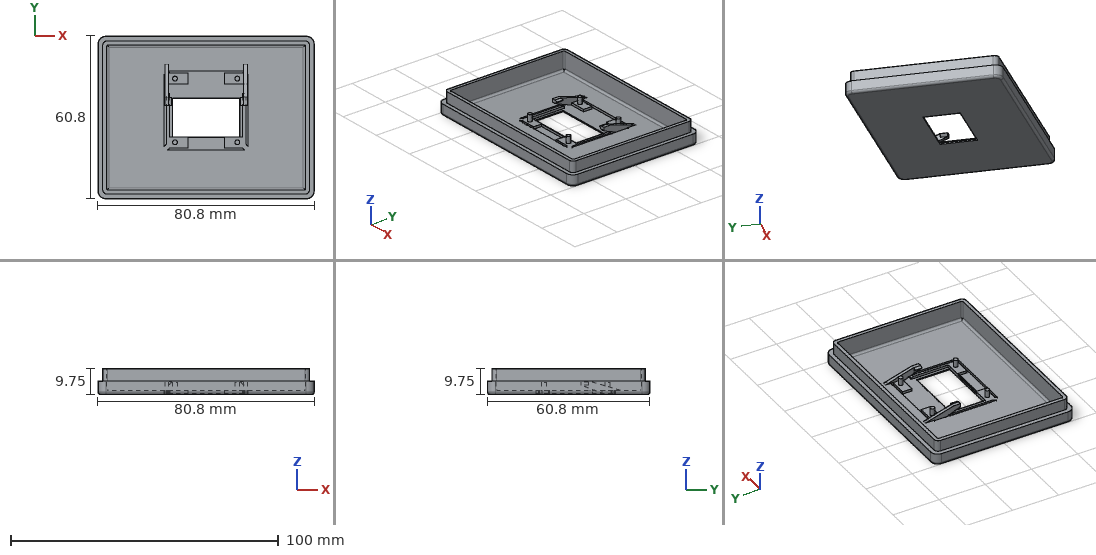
import cadquery as cq

LENGTH = 80.8
WIDTH = 60.8
HEIGHT = 9.75
BASE_HEIGHT = 5.0
FLOOR_Z = 1.5
LIP_INSET = 1.75
LIP_WALL = 1.5
CORNER_RADIUS = 3.0
LIP_CORNER_RADIUS = 1.75
CAVITY_CORNER_RADIUS = 0.6
BOTTOM_FILLET = 1.0
FLOOR_FILLET = 0.9

WINDOW_LENGTH = 25.0
WINDOW_WIDTH = 14.4

RECESS_Z = 0.5
RECESS_HALF_X = 15.7
RECESS_Y_MIN = -12.15
RECESS_Y_MAX = 17.45
TRENCH_WIDTH = 0.85
BRIDGE_WIDTH = 1.9
BRIDGE_LENGTH = 6.8
SEAT_HALF_X = 13.66
SEAT_Y_MIN = -WINDOW_WIDTH / 2
SEAT_Y_MAX = 12.5
CENTER_HALF_X = 6.85
RIB_WIDTH = 0.3

POST_DIAMETER = 1.8
POST_TOP_Z = 4.5
POST_X = 11.65
POST_YS = (-9.25, 14.55)

ARM_INNER_X = 14.0
ARM_OUTER_X = 15.45
ARM_TOP_Z = 5.1
ARM_TIP_Y = 4.55
ARM_RAMP_TOP_Y = 7.5
ARM_RAMP_FOOT_Y = 19.8
ARM_TIP_BOTTOM_Z = 3.6
HOOK_REACH = 1.15
HOOK_DROP = 0.45
RELIEF_RAMP_FOOT_Y = 8.9
RELIEF_RAMP_TOP_Y = 7.95
RELIEF_RAMP_DROP = 0.5


def block(x_min, x_max, y_min, y_max, z_min, z_max):
    """Axis-aligned box given by its limits."""
    size = (x_max - x_min, y_max - y_min, z_max - z_min)
    return cq.Workplane("XY").box(*size, centered=False).translate((x_min, y_min, z_min))


def rounded_plate(length, width, z_min, z_max, radius):
    """Plate centred on the Z axis with rounded vertical edges."""
    plate = cq.Workplane("XY", origin=(0, 0, z_min)).rect(length, width).extrude(z_max - z_min)
    return plate.edges("|Z").fillet(radius)


def side_profile(points, x_min, x_max):
    """Prism along X with its outline given as (y, z) points."""
    prism = cq.Workplane("YZ", origin=(x_min, 0, 0)).polyline(points).close()
    return prism.extrude(x_max - x_min)


def with_mirror(right_side):
    """The given shape together with its mirror image across X = 0."""
    return right_side.union(right_side.mirror("YZ"))


def tray():
    base = rounded_plate(LENGTH, WIDTH, 0, BASE_HEIGHT, CORNER_RADIUS)
    base = base.faces("<Z").edges().fillet(BOTTOM_FILLET)
    lip_length = LENGTH - 2 * LIP_INSET
    lip_width = WIDTH - 2 * LIP_INSET
    lip = rounded_plate(lip_length, lip_width, FLOOR_Z, HEIGHT, LIP_CORNER_RADIUS)
    cavity_length = lip_length - 2 * LIP_WALL
    cavity_width = lip_width - 2 * LIP_WALL
    cavity = cq.Workplane("XY", origin=(0, 0, FLOOR_Z)).rect(cavity_length, cavity_width)
    cavity = cavity.extrude(HEIGHT - FLOOR_Z).faces("<Z").edges().fillet(FLOOR_FILLET)
    corners = rounded_plate(cavity_length, cavity_width, FLOOR_Z, HEIGHT, CAVITY_CORNER_RADIUS)
    cavity = cavity.intersect(corners)
    return base.union(lip).cut(cavity)


def trench():
    """Ring-shaped trench interrupted by a diagonal bridge at each corner."""
    outer = block(-RECESS_HALF_X, RECESS_HALF_X, RECESS_Y_MIN, RECESS_Y_MAX, RECESS_Z, FLOOR_Z)
    inner_half_x = RECESS_HALF_X - TRENCH_WIDTH
    inner_y_min = RECESS_Y_MIN + TRENCH_WIDTH
    inner_y_max = RECESS_Y_MAX - TRENCH_WIDTH
    ring = outer.cut(block(-inner_half_x, inner_half_x, inner_y_min, inner_y_max, RECESS_Z, FLOOR_Z))
    for x_sign in (-1, 1):
        for y, y_sign in ((RECESS_Y_MIN, -1), (RECESS_Y_MAX, 1)):
            bridge = cq.Workplane("XY").box(BRIDGE_LENGTH, BRIDGE_WIDTH, 2 * FLOOR_Z)
            bridge = bridge.rotate((0, 0, 0), (0, 0, 1), 45 * x_sign * y_sign)
            ring = ring.cut(bridge.translate((x_sign * RECESS_HALF_X, y, FLOOR_Z)))
    return ring


def arm_reliefs():
    """Pockets under the snap arms, with one end ramping back up to the floor."""
    profile = [
        (SEAT_Y_MAX, FLOOR_Z),
        (SEAT_Y_MAX, RECESS_Z),
        (RELIEF_RAMP_FOOT_Y, RECESS_Z),
        (RELIEF_RAMP_FOOT_Y, FLOOR_Z - RELIEF_RAMP_DROP),
        (RELIEF_RAMP_TOP_Y, FLOOR_Z),
    ]
    return with_mirror(side_profile(profile, SEAT_HALF_X, RECESS_HALF_X))


def recesses():
    seat = block(-SEAT_HALF_X, SEAT_HALF_X, SEAT_Y_MIN, SEAT_Y_MAX, RECESS_Z, FLOOR_Z)
    upper = block(-CENTER_HALF_X, CENTER_HALF_X, SEAT_Y_MAX, RECESS_Y_MAX, RECESS_Z, FLOOR_Z)
    rib_y = SEAT_Y_MIN - RIB_WIDTH
    lower = block(-CENTER_HALF_X, CENTER_HALF_X, RECESS_Y_MIN, rib_y, RECESS_Z, FLOOR_Z)
    return trench().union(seat).union(upper).union(lower).union(arm_reliefs())


def posts():
    locations = [(x, y) for x in (-POST_X, POST_X) for y in POST_YS]
    plane = cq.Workplane("XY", origin=(0, 0, RECESS_Z))
    return plane.pushPoints(locations).circle(POST_DIAMETER / 2).extrude(POST_TOP_Z - RECESS_Z)


def snap_arms():
    """Cantilever arms rising from the floor, each with a hook towards the window."""
    profile = [
        (ARM_RAMP_FOOT_Y, FLOOR_Z),
        (ARM_RAMP_TOP_Y, ARM_TOP_Z),
        (ARM_TIP_Y, ARM_TOP_Z),
        (ARM_TIP_Y, ARM_TIP_BOTTOM_Z),
        (SEAT_Y_MAX, RECESS_Z),
        (ARM_RAMP_FOOT_Y, RECESS_Z),
    ]
    arm = side_profile(profile, ARM_INNER_X, ARM_OUTER_X)
    hook = (
        cq.Workplane("XZ", origin=(0, ARM_RAMP_TOP_Y, 0))
        .moveTo(ARM_INNER_X, ARM_TOP_Z)
        .lineTo(ARM_INNER_X - HOOK_REACH, ARM_TOP_Z - HOOK_DROP)
        .lineTo(ARM_INNER_X, ARM_TIP_BOTTOM_Z)
        .close()
        .extrude(ARM_RAMP_TOP_Y - ARM_TIP_Y)
    )
    return with_mirror(arm.union(hook))


def window():
    return cq.Workplane("XY").rect(WINDOW_LENGTH, WINDOW_WIDTH).extrude(FLOOR_Z)


result = tray().cut(recesses()).cut(window()).union(posts()).union(snap_arms())